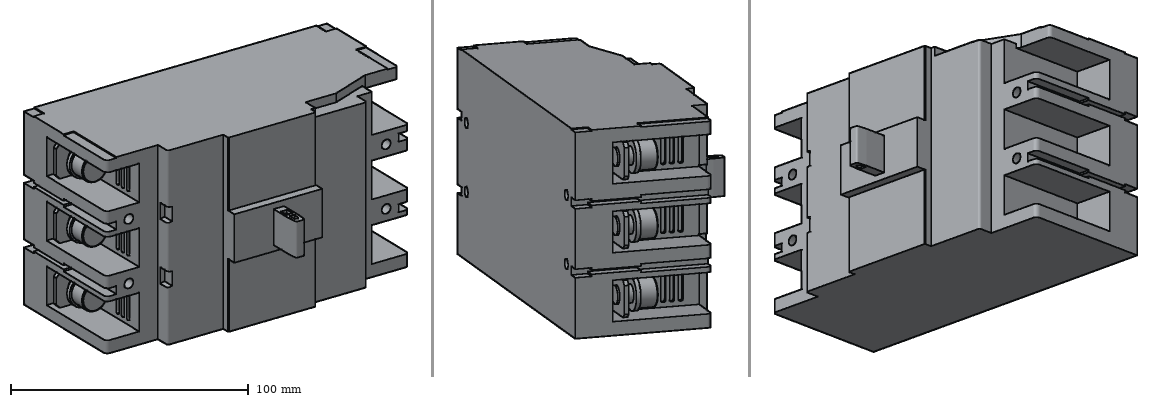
import cadquery as cq


LENGTH = 155.0
WIDTH = 90.0
OVERALL_DEPTH = 92.0
MID_Y = LENGTH / 2
MID_Z = WIDTH / 2

SHOULDER_X = 60.8
COVER_X = 67.9
COVER_LENGTH = 102.0
PLATEAU_X = 71.6
PLATEAU_LENGTH = 45.0
COLLAR_X = 76.1
COLLAR_WIDTH = 22.5
SHOULDER_FILLET = 2.0
COVER_FILLET = 1.1
PLATEAU_CHAMFER = 0.5
COVER_START_Y = MID_Y - COVER_LENGTH / 2
COVER_END_Y = MID_Y + COVER_LENGTH / 2

LEDGE_X = 52.7
LEDGE_SLOPE_END_Y = 138.1
LEDGE_SLOPE_START_Y = 117.8
LEDGE_START_Y = 102.1
LEDGE_DROP = 4.2
END_LEDGE_Y = 136.1
END_LEDGE_DROP = 2 * LEDGE_DROP
LEDGE_FILLET = 1.5

POLE_COUNT = 3
POLE_PITCH = 29.9
POLE_Z = [MID_Z + (i - (POLE_COUNT - 1) / 2) * POLE_PITCH for i in range(POLE_COUNT)]

POCKET_X = 16.7
POCKET_WIDTH = 18.0
POCKET_DEPTH = 16.9
FAR_POCKET_DEPTH = LENGTH - END_LEDGE_Y

VENT_COUNT = 3
VENT_FIRST_X = 44.8
VENT_PITCH = 3.9
VENT_WIDTH = 2.2
VENT_LENGTH = 13.8
VENT_DEPTH = 1.5

SLOT_DEPTH = 5.3
SLOT_WIDE = 3.7
SLOT_NARROW = 1.9
NECK_START_X = 7.3
NECK_END_X = 29.3
WIDE_STRETCHES = [(0, NECK_START_X), (NECK_END_X, SHOULDER_X)]
LOWER_SLOT_Z = 28.4
NEAR_UPPER_SLOT_Z = 58.3
FAR_UPPER_SLOT_Z = 61.0
SIDE_RECESS = 0.5

NOTCH_X = 62.3
NOTCH_WIDTH = 7.6
NOTCH_BACK_WIDTH = 6.7
NOTCH_DEPTH = 2.3
LOWER_NOTCH_Z = 30.2
NOTCH_Z = [LOWER_NOTCH_Z, LOWER_NOTCH_Z + POLE_PITCH]

HOLE_DIAMETER = 4.5
HOLE_INSET = 11.6
HOLE_Z = [29.8, 59.7]

PLATE_X = 21.9
PLATE_THICKNESS = 2.0
PLATE_WIDTH = 16.1
PLATE_CHAMFER = 1.9

SCREW_Y = 10.0
SCREW_TIP_X = 21.0
SHANK_DIAMETER = 8.0
WASHER_X = 28.0
WASHER_DIAMETER = 15.0
WASHER_THICKNESS = 2.0
HEAD_DIAMETER = 13.0
HEAD_END_X = 38.1
HEAD_CHAMFER = 0.5

HANDLE_WIDTH = 16.7
HANDLE_THICKNESS = 5.3
HANDLE_TIP_THICKNESS = 4.3
HANDLE_TAPER_X = 86.8
HANDLE_TIP_FILLET = 1.0
HANDLE_Y = 77.8
EYE_START_X = 85.9
EYE_END_X = 89.6
EYE_START_WIDTH = 2.6
EYE_END_WIDTH = 1.9
EYE_FILLET = 0.6
HANDLE_POCKET_X = 79.8
HANDLE_POCKET_LENGTH = 4.2
HANDLE_POCKET_WIDTH = 3.1
HANDLE_POCKET_DEPTH = 1.5


def box(x_range, y_range, z_range):
    """Axis-aligned box between the given limits."""
    size = [high - low for low, high in (x_range, y_range, z_range)]
    corner = (x_range[0], y_range[0], z_range[0])
    return cq.Workplane("XY").box(*size, centered=False).translate(corner)


def centred(middle, size):
    """Limits of a span of the given size around its middle."""
    return (middle - size / 2, middle + size / 2)


def mirror_to_far_end(shape):
    """Copy of a -Y end feature at the +Y end."""
    return shape.mirror("XZ", (0, MID_Y, 0))


def case_block():
    """Solid stepped case with the plateau and the handle collar."""
    shoulder = box((0, SHOULDER_X), (0, LENGTH), (0, WIDTH))
    shoulder = shoulder.edges("|Z and >X").fillet(SHOULDER_FILLET)
    cover = box((0, COVER_X), (COVER_START_Y, COVER_END_Y), (0, WIDTH))
    cover = cover.edges("|Z and >X").fillet(COVER_FILLET)
    plateau = box((0, PLATEAU_X), centred(MID_Y, PLATEAU_LENGTH), (0, WIDTH))
    plateau = plateau.edges("|Z and >X").chamfer(PLATEAU_CHAMFER)
    collar = box((0, COLLAR_X), centred(MID_Y, PLATEAU_LENGTH), centred(MID_Z, COLLAR_WIDTH))
    return shoulder.union(cover).union(plateau).union(collar)


def ledge_cut():
    """Material removed beside the sloped edge of the +Z wall, deeper at the +Y end."""
    cut = (
        cq.Workplane("XY", origin=(0, 0, WIDTH - END_LEDGE_DROP))
        .moveTo(LEDGE_X - LEDGE_FILLET, LENGTH)
        .radiusArc((LEDGE_X, LENGTH - LEDGE_FILLET), LEDGE_FILLET)
        .lineTo(LEDGE_X, LEDGE_SLOPE_END_Y)
        .lineTo(SHOULDER_X, LEDGE_SLOPE_START_Y)
        .lineTo(SHOULDER_X, LEDGE_START_Y)
        .lineTo(COVER_X, LEDGE_START_Y)
        .lineTo(COVER_X, LENGTH)
        .close()
        .extrude(END_LEDGE_DROP)
    )
    kept_step = box(
        (0, COVER_X), (0, END_LEDGE_Y), (WIDTH - END_LEDGE_DROP, WIDTH - LEDGE_DROP)
    )
    return cut.cut(kept_step)


def terminal_pocket(pole_z, depth):
    """Pocket at the -Y end, open towards +X."""
    return box((POCKET_X, SHOULDER_X), (0, depth), centred(pole_z, POCKET_WIDTH))


def pocket_vents(pole_z):
    """Round-ended blind slots in the back wall of one pocket."""
    middles = [(VENT_FIRST_X + i * VENT_PITCH, pole_z) for i in range(VENT_COUNT)]
    return (
        cq.Workplane("XZ", origin=(0, POCKET_DEPTH, 0))
        .pushPoints(middles)
        .slot2D(VENT_LENGTH, VENT_WIDTH, 90)
        .extrude(-VENT_DEPTH)
    )


def barrier_slot(slot_z):
    """Slot at the -Y end with a narrow neck between two wide stretches."""
    depth = (0, SLOT_DEPTH)
    slot = box((0, SHOULDER_X), depth, centred(slot_z, SLOT_NARROW))
    for stretch in WIDE_STRETCHES:
        slot = slot.union(box(stretch, depth, centred(slot_z, SLOT_WIDE)))
    return slot


def side_recesses():
    """Shallow steps in the +Z wall at the -Y end, matching the wide stretches."""
    recesses = cq.Workplane("XY")
    for stretch in WIDE_STRETCHES:
        recesses = recesses.add(box(stretch, (0, SLOT_DEPTH), (WIDTH - SIDE_RECESS, WIDTH)))
    return recesses.combine()


def cover_notch(notch_z):
    """Notch in the -Y step of the cover, open towards +X, with drafted side walls."""
    back_y = COVER_START_Y + NOTCH_DEPTH
    section = [
        (COVER_START_Y, notch_z - NOTCH_WIDTH / 2),
        (back_y, notch_z - NOTCH_BACK_WIDTH / 2),
        (back_y, notch_z + NOTCH_BACK_WIDTH / 2),
        (COVER_START_Y, notch_z + NOTCH_WIDTH / 2),
    ]
    plane = cq.Workplane("YZ", origin=(NOTCH_X, 0, 0))
    return plane.polyline(section).close().extrude(COVER_X - NOTCH_X)


def mounting_holes():
    """Through holes along X near both ends."""
    middles = [(y, z) for y in (HOLE_INSET, LENGTH - HOLE_INSET) for z in HOLE_Z]
    return cq.Workplane("YZ").pushPoints(middles).circle(HOLE_DIAMETER / 2).extrude(COVER_X)


def make_housing():
    body = case_block().cut(ledge_cut())
    for pole_z in POLE_Z:
        body = body.cut(terminal_pocket(pole_z, POCKET_DEPTH)).cut(pocket_vents(pole_z))
        body = body.cut(mirror_to_far_end(terminal_pocket(pole_z, FAR_POCKET_DEPTH)))
    for slot_z in (LOWER_SLOT_Z, NEAR_UPPER_SLOT_Z):
        body = body.cut(barrier_slot(slot_z))
    for slot_z in (LOWER_SLOT_Z, FAR_UPPER_SLOT_Z):
        body = body.cut(mirror_to_far_end(barrier_slot(slot_z)))
    recesses = side_recesses()
    body = body.cut(recesses).cut(mirror_to_far_end(recesses))
    for notch_z in NOTCH_Z:
        body = body.cut(cover_notch(notch_z))
    return body.cut(mounting_holes())


def make_handle():
    """Flat toggle with a tapered tip, an eye through it and a blind pocket in its +Z side."""
    half = HANDLE_THICKNESS / 2
    half_tip = HANDLE_TIP_THICKNESS / 2
    low_z, high_z = centred(MID_Z, HANDLE_WIDTH)
    profile = [
        (COLLAR_X, HANDLE_Y - half),
        (HANDLE_TAPER_X, HANDLE_Y - half),
        (OVERALL_DEPTH, HANDLE_Y - half_tip),
        (OVERALL_DEPTH, HANDLE_Y + half_tip),
        (HANDLE_TAPER_X, HANDLE_Y + half),
        (COLLAR_X, HANDLE_Y + half),
    ]
    base = cq.Workplane("XY", origin=(0, 0, low_z))
    toggle = base.polyline(profile).close().extrude(HANDLE_WIDTH)
    toggle = toggle.edges("|Z and >X").fillet(HANDLE_TIP_FILLET)
    eye_outline = [
        (EYE_START_X, HANDLE_Y - EYE_START_WIDTH / 2),
        (EYE_END_X, HANDLE_Y - EYE_END_WIDTH / 2),
        (EYE_END_X, HANDLE_Y + EYE_END_WIDTH / 2),
        (EYE_START_X, HANDLE_Y + EYE_START_WIDTH / 2),
    ]
    eye = base.polyline(eye_outline).close().extrude(HANDLE_WIDTH)
    eye = eye.edges("|Z and >X").fillet(EYE_FILLET)
    pocket = box(
        (HANDLE_POCKET_X, HANDLE_POCKET_X + HANDLE_POCKET_LENGTH),
        centred(HANDLE_Y, HANDLE_POCKET_WIDTH),
        (high_z - HANDLE_POCKET_DEPTH, high_z),
    )
    return toggle.cut(eye).cut(pocket)


def make_terminal_plate(pole_z):
    """Plate against the pocket back wall, bored for the screw shank."""
    plate = box(
        (PLATE_X, PLATE_X + PLATE_THICKNESS), (0, POCKET_DEPTH), centred(pole_z, PLATE_WIDTH)
    )
    plate = plate.edges("|X and <Y").chamfer(PLATE_CHAMFER)
    bore = (
        cq.Workplane("YZ", origin=(PLATE_X, SCREW_Y, pole_z))
        .circle(SHANK_DIAMETER / 2)
        .extrude(PLATE_THICKNESS)
    )
    return plate.cut(bore)


def make_terminal_screw(pole_z):
    """Screw along X with shank, captive washer and cylindrical head."""

    def disc(start_x, end_x, diameter):
        plane = cq.Workplane("YZ", origin=(start_x, SCREW_Y, pole_z))
        return plane.circle(diameter / 2).extrude(end_x - start_x)

    washer_end_x = WASHER_X + WASHER_THICKNESS
    shank = disc(SCREW_TIP_X, WASHER_X, SHANK_DIAMETER)
    washer = disc(WASHER_X, washer_end_x, WASHER_DIAMETER)
    head = disc(washer_end_x, HEAD_END_X, HEAD_DIAMETER).faces(">X").chamfer(HEAD_CHAMFER)
    return shank.union(washer).union(head)


housing = make_housing()
handle = make_handle()
terminal_plates = [make_terminal_plate(pole_z) for pole_z in POLE_Z]
terminal_screws = [make_terminal_screw(pole_z) for pole_z in POLE_Z]

result = cq.Compound.makeCompound(
    [
        housing.val(),
        handle.val(),
        *[plate.val() for plate in terminal_plates],
        *[screw.val() for screw in terminal_screws],
    ]
)